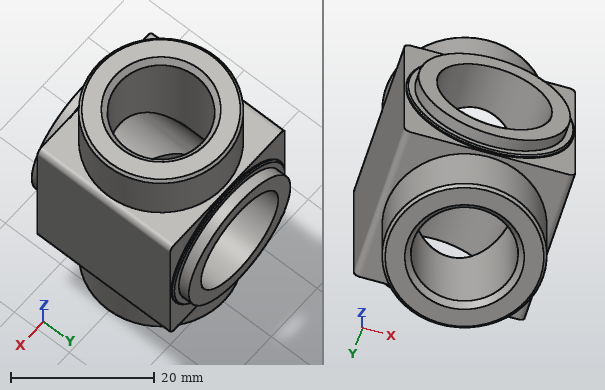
import cadquery as cq

block_width = 25.0
block_depth = 24.15
block_edge_radius = 1.0

tube_length = 43.0
tube_diameter = 23.0
tube_end_chamfer = 0.45
tube_bore_diameter = 14.95
bore_mouth_diameter = 16.7
bore_chamfer = (bore_mouth_diameter - tube_bore_diameter) / 2

step_diameter = 24.5
step_span = 25.0
step_edge_chamfer = 0.2
boss_diameter = 22.15
boss_span = 28.6
cross_bore_diameter = 16.8


def y_cylinder(diameter, length):
    """Cylinder along Y, centred on the origin."""
    return cq.Workplane("XZ").circle(diameter / 2).extrude(length / 2, both=True)


def z_cylinder(diameter, length):
    """Cylinder along Z, centred on the origin."""
    return cq.Workplane("XY").circle(diameter / 2).extrude(length / 2, both=True)


def bore_mouth(end):
    """Conical countersink at the top (end = 1) or bottom (end = -1) of the tube."""
    return (
        cq.Workplane("XY", origin=(0, 0, end * tube_length / 2))
        .circle(bore_mouth_diameter / 2)
        .workplane(offset=-end * bore_chamfer)
        .circle(tube_bore_diameter / 2)
        .loft()
    )


block = cq.Workplane("XY").box(block_width, block_depth, block_width)
block = block.edges("|Y").fillet(block_edge_radius)

tube = z_cylinder(tube_diameter, tube_length).faces("|Z").edges().chamfer(tube_end_chamfer)

body = block.union(tube)
step = y_cylinder(step_diameter, step_span).faces("|Y").edges().chamfer(step_edge_chamfer)
body = body.union(step)
body = body.union(y_cylinder(boss_diameter, boss_span))

body = body.cut(z_cylinder(tube_bore_diameter, tube_length))
body = body.cut(y_cylinder(cross_bore_diameter, boss_span))
for end in (1, -1):
    body = body.cut(bore_mouth(end))

result = body